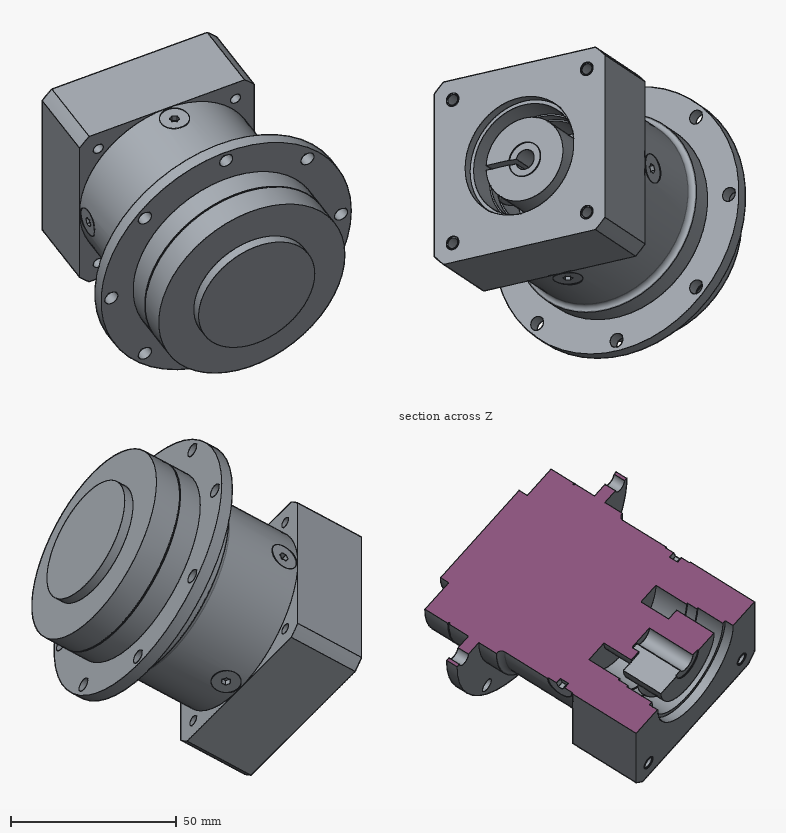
import cadquery as cq
import math

plate_end = 24.0
body_end = 49.6
shoulder_start = 51.3
flange_start = 58.0
flange_end = 62.0
groove_start = 69.4
groove_end = 69.75
shoulder_end = 78.4
overall_length = 81.5

flange_radius = 43.0
body_radius = 30.0
shoulder_radius = 32.0
pilot_radius = 19.95
groove_depth = 0.5
body_fillet = shoulder_start - body_end

plate_side = 2 * body_radius
plate_corner_radius = 40.2
plate_hole_spacing = 47.1
plate_hole_radius = 1.7
plate_hole_mouth_radius = 2.15
plate_hole_mouth_depth = 0.3

flange_hole_count = 8
flange_hole_radius = 2.2
flange_hole_circle_radius = 39.5

cavity_steps = [(0, 19.1), (3.0, 17.9), (12.5, 17.4), (16.0, 16.85)]
cavity_floor = 27.5

hub_face = 3.0
hub_radius = 13.5
hub_recess_radius = 5.5
hub_recess_depth = 0.35
shaft_bore_radius = 3.2
clamp_slot_width = 1.55

hub_ring_end = 17.2
hub_neck_radius = 9.5
shaft_bore_end = 19.8

screw_x = 10.3
screw_y = 8.3
screw_head_radius = 4.2
screw_head_end = 9.2
screw_head_height = 4.3
screw_head_fillet = 0.5

plug_x = 28.9
plug_radius = 4.6
plug_socket_flats = 2.6
plug_socket_depth = 2.0


def cylinder_x(start, end, radius):
    """Cylinder along X between two stations, centred on the part axis."""
    return cq.Workplane("YZ", origin=(start, 0, 0)).circle(radius).extrude(end - start)


def make_housing():
    """Turned housing: body, filleted shoulder, flange, narrow groove and end pilot."""
    arc_offset = body_fillet * math.sin(math.pi / 4)
    arc_middle = (body_end + arc_offset, body_radius + body_fillet - arc_offset)
    groove_radius = shoulder_radius - groove_depth
    return (
        cq.Workplane("XY")
        .moveTo(0, 0)
        .lineTo(0, body_radius)
        .lineTo(body_end, body_radius)
        .threePointArc(arc_middle, (shoulder_start, body_radius + body_fillet))
        .lineTo(shoulder_start, shoulder_radius)
        .lineTo(flange_start, shoulder_radius)
        .lineTo(flange_start, flange_radius)
        .lineTo(flange_end, flange_radius)
        .lineTo(flange_end, shoulder_radius)
        .lineTo(groove_start, shoulder_radius)
        .lineTo(groove_start, groove_radius)
        .lineTo(groove_end, groove_radius)
        .lineTo(groove_end, shoulder_radius)
        .lineTo(shoulder_end, shoulder_radius)
        .lineTo(shoulder_end, pilot_radius)
        .lineTo(overall_length, pilot_radius)
        .lineTo(overall_length, 0)
        .close()
        .revolve(360, (0, 0, 0), (1, 0, 0))
    )


def make_plate():
    """Square motor plate with turned corners and four mounting holes with shallow wider mouths."""
    plate = cq.Workplane("YZ").rect(plate_side, plate_side).extrude(plate_end)
    plate = plate.intersect(cylinder_x(0, plate_end, plate_corner_radius))
    return (
        plate.faces("<X")
        .workplane(origin=(0, 0, 0))
        .rect(plate_hole_spacing, plate_hole_spacing, forConstruction=True)
        .vertices()
        .cboreHole(2 * plate_hole_radius, 2 * plate_hole_mouth_radius, plate_hole_mouth_depth)
    )


def make_flange_holes():
    """Evenly spaced through holes in the flange."""
    return (
        cq.Workplane("YZ", origin=(flange_start, 0, 0))
        .polarArray(flange_hole_circle_radius, 0, 360, flange_hole_count)
        .circle(flange_hole_radius)
        .extrude(flange_end - flange_start)
    )


def make_cavity():
    """Stepped bore that narrows towards the cavity floor."""
    step_ends = [step[0] for step in cavity_steps[1:]] + [cavity_floor]
    cavity = cq.Workplane("YZ")
    for (start, radius), end in zip(cavity_steps, step_ends):
        cavity = cavity.union(cylinder_x(start, end, radius))
    return cavity


def hub_slot(start, end, length):
    """Radial slot from the axis towards +Y between two stations."""
    slot = cq.Workplane("XY", origin=(start, 0, 0))
    return slot.box(end - start, length, clamp_slot_width, centered=(False, False, True))


def make_screw_head():
    """Rounded clamp screw head, protruding from the hub rim towards -Z."""
    return (
        cq.Workplane("XY", origin=(screw_x, screw_y, -screw_head_end))
        .circle(screw_head_radius)
        .extrude(screw_head_height)
        .faces("<Z")
        .edges()
        .fillet(screw_head_fillet)
    )


def make_hub():
    """Slotted clamping ring on a narrower neck that stands on the cavity floor."""
    hub = cylinder_x(hub_face, hub_ring_end, hub_radius)
    hub = hub.union(cylinder_x(hub_ring_end, cavity_floor, hub_neck_radius))
    hub = hub.cut(cylinder_x(hub_face, hub_face + hub_recess_depth, hub_recess_radius))
    hub = hub.cut(cylinder_x(hub_face, shaft_bore_end, shaft_bore_radius))
    hub = hub.cut(hub_slot(hub_face, hub_ring_end, hub_radius))
    hub = hub.cut(hub_slot(hub_ring_end, shaft_bore_end, hub_recess_radius))
    return hub.union(make_screw_head())


def make_plug_cut():
    """Flat spot face on the top of the body with a blind hexagonal socket at its centre."""
    flat_height = math.sqrt(body_radius**2 - plug_radius**2)
    plane = cq.Workplane("XY", origin=(plug_x, 0, flat_height))
    spot_face = plane.circle(plug_radius).extrude(body_radius - flat_height)
    socket_across_corners = plug_socket_flats / math.cos(math.pi / 6)
    socket = plane.polygon(6, socket_across_corners).extrude(-plug_socket_depth)
    return spot_face.union(socket)


result = make_housing().union(make_plate())
result = result.cut(make_flange_holes())
result = result.cut(make_cavity()).union(make_hub())
for quarter in range(4):
    result = result.cut(make_plug_cut().rotate((0, 0, 0), (1, 0, 0), 90 * quarter))